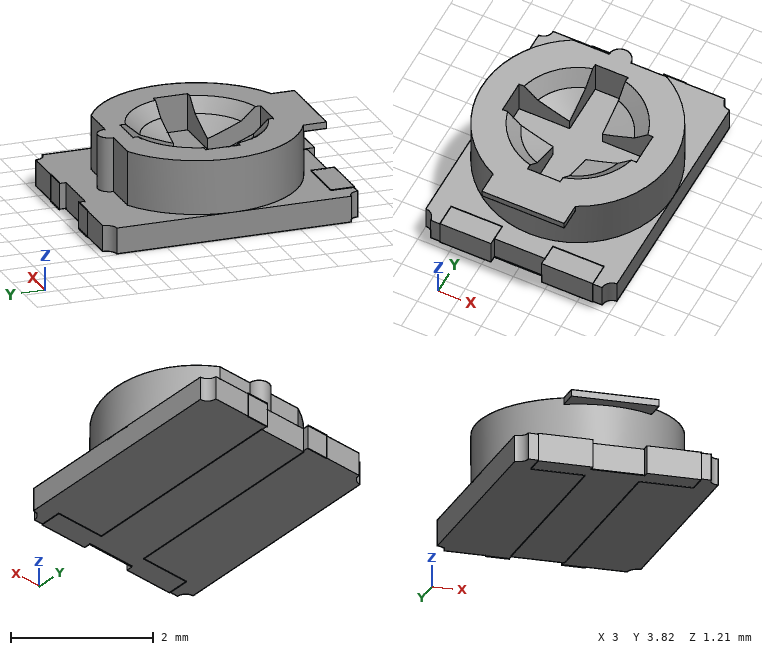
import cadquery as cq

total_height = 1.21
metal_thickness = 0.01
base_top = 0.4
terminal_top = base_top + metal_thickness

total_length = 3.82
base_width = 3.0
terminal_end_step = 0.005
base_length = total_length - 2 * terminal_end_step
corner_radius = 0.153
notch_depth = 0.1
front_notch_width = 0.795
rear_notch_width = 0.765

front_terminal_outer_x = 1.2
front_terminal_reach = 0.35
rear_terminal_outer_x = 0.737

rotor_radius = base_width / 2
rotor_flat_y = 1.305
pointer_radius = 0.17
tab_width = 1.29
tab_end_y = -1.7
tab_thickness = 0.1

recess_depth = 0.545
bowl_rim_radius = 1.005
bowl_ring_radius = 0.8
bowl_ring_depth = 0.19
slot_length = 2.1
slot_width = 0.51


def block(x_min, x_max, y_min, y_max, z_min, z_max):
    """Axis-aligned box given by its limits."""
    size = (x_max - x_min, y_max - y_min, z_max - z_min)
    return cq.Workplane("XY").box(*size, centered=False).translate((x_min, y_min, z_min))


def centered_block(width, y_min, y_max, z_min, z_max):
    """Box that is symmetric about X = 0."""
    return block(-width / 2, width / 2, y_min, y_max, z_min, z_max)


def make_base():
    """Plate with scooped corners, a notch in each end and a strip underneath."""
    end_y = total_length / 2
    plate_end_y = base_length / 2
    notch_y = end_y - notch_depth
    plate = centered_block(base_width, -plate_end_y, plate_end_y, metal_thickness, base_top)
    scoops = (
        cq.Workplane("XY")
        .rect(base_width, base_length, forConstruction=True)
        .vertices()
        .circle(corner_radius)
        .extrude(base_top)
    )
    front_notch_y = -notch_y + metal_thickness
    front_notch = centered_block(front_notch_width, -end_y, front_notch_y, 0, base_top)
    rear_notch = centered_block(rear_notch_width, notch_y, end_y, 0, base_top)
    strip = centered_block(front_notch_width, -notch_y, notch_y, 0, metal_thickness)
    return plate.cut(scoops).cut(front_notch).cut(rear_notch).union(strip)


def make_terminals():
    """Front wrap-around pads and thin rear plates, mirrored about X = 0."""
    end_y = total_length / 2
    front = block(
        front_notch_width / 2, front_terminal_outer_x,
        -end_y, -end_y + front_terminal_reach,
        0, terminal_top,
    )
    rear = block(
        rear_notch_width / 2, rear_terminal_outer_x,
        end_y - terminal_end_step, end_y,
        0, terminal_top,
    )
    one_side = front.union(rear)
    return one_side.union(one_side.mirror("YZ"))


def make_rotor():
    """Disc with a rear flat, a round pointer on the flat and a thin front tab."""
    height = total_height - base_top
    disc = cq.Workplane("XY").workplane(offset=base_top).circle(rotor_radius).extrude(height)
    beyond_flat = centered_block(
        2 * rotor_radius, rotor_flat_y, rotor_radius, base_top, total_height
    )
    pointer = (
        cq.Workplane("XY").workplane(offset=base_top)
        .center(0, rotor_flat_y).circle(pointer_radius).extrude(height)
    )
    tab_start_y = -(rotor_radius + bowl_rim_radius) / 2
    tab = centered_block(
        tab_width, tab_end_y, tab_start_y, total_height - tab_thickness, total_height
    )
    return disc.cut(beyond_flat).union(pointer).union(tab)


def make_recess():
    """Two-stage conical bowl combined with a flat-bottomed cross slot."""
    floor_z = total_height - recess_depth
    bowl = (
        cq.Workplane("XZ")
        .moveTo(0, floor_z)
        .lineTo(bowl_ring_radius, total_height - bowl_ring_depth)
        .lineTo(bowl_rim_radius, total_height)
        .lineTo(0, total_height)
        .close()
        .revolve(360, (0, 0, 0), (0, 1, 0))
    )
    slot = centered_block(slot_width, -slot_length / 2, slot_length / 2, floor_z, total_height)
    crossing_slot = slot.rotate((0, 0, 0), (0, 0, 1), 90)
    return bowl.union(slot).union(crossing_slot)


result = make_base().union(make_terminals()).union(make_rotor()).cut(make_recess())